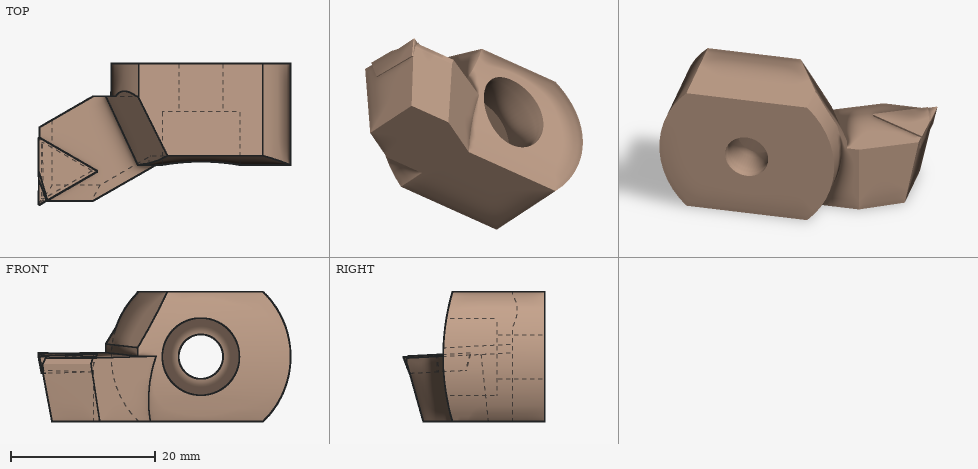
import cadquery as cq
import math


def tan_deg(angle):
    return math.tan(math.radians(angle))



body_radius = 12.45
body_height = 18.0
body_depth = 14.08
dome_radius = 31.95
bore_diameter = 6.1
counterbore_diameter = 10.7
counterbore_floor_depth = 6.65

ledge_depth = 4.55
wall_x = -13.17
wall_height = 1.2
wall_angle = 25.0
ramp_run = 4.45
floor_z = 0.55
floor_tilt = 3.0

head_left_x = -22.3
head_left_relief = 10.6
head_front_y = -19.35
head_front_relief = 15.7
front_land_y = -19.07
flank_angle = 30.0
flank_distance = 9.08
flank_relief = 9.5
back_flank_x = -14.88
flank_inner_y = -11.53

insert_left_x = -22.5
insert_center_y = -14.95
insert_side = 9.57
insert_thickness = 2.38
insert_relief = 10.5
insert_corner_chamfer = 0.17
insert_proud = 0.28

breaker_floor_z = -0.05
breaker_foot = (-22.4, -16.2)
breaker_angle = 20.3
breaker_slope = 38.0

half_height = body_height / 2
clear = 34.93
overrun = 1.75


def floor_level(y):
    """Height of the tilted head top at a given Y."""
    return floor_z + (y + ledge_depth) * tan_deg(floor_tilt)


def make_domed_bar():
    """Bar along X with flat top, bottom and back, and a domed front."""
    rim_y = -body_depth + dome_radius - math.sqrt(dome_radius**2 - half_height**2)
    return (
        cq.Workplane("YZ")
        .moveTo(0, -half_height)
        .lineTo(rim_y, -half_height)
        .threePointArc((-body_depth, 0), (rim_y, half_height))
        .lineTo(0, half_height)
        .close()
        .extrude(body_radius * 2, both=True)
    )


def make_step_cutter():
    """Space above the head, swept parallel to the step wall."""
    wall_top_z = floor_z + wall_height
    ramp_slope = ramp_run / (half_height - wall_top_z)
    top_z = half_height + overrun
    rise = floor_level(0) - floor_z
    shift_x = -ledge_depth * tan_deg(wall_angle)
    ramp_top_x = wall_x + (top_z - wall_top_z) * ramp_slope
    outline = [
        (-clear, floor_z),
        (wall_x, floor_z),
        (wall_x, wall_top_z),
        (ramp_top_x, top_z),
        (-clear, top_z),
    ]
    points = [cq.Vector(x + shift_x, 0, z + rise) for x, z in outline]
    wire = cq.Wire.makePolygon(points, close=True)
    sweep = cq.Vector(tan_deg(wall_angle), -1, -tan_deg(floor_tilt)) * clear
    return cq.Workplane(cq.Solid.extrudeLinear(wire, [], sweep))


def make_body():
    """Round-ended body with a shoulder over the head, cut back by the step."""
    shoulder = cq.Workplane("XY").box(
        -wall_x, clear, body_height, centered=(False, False, True)
    ).translate((wall_x, -ledge_depth - clear, 0))
    disc = cq.Workplane("XZ").circle(body_radius).extrude(clear)
    return make_domed_bar().intersect(disc.union(shoulder)).cut(make_step_cutter())


def head_outline(z):
    """Plan of the head at height z, drawn in by the relief angles."""
    left_x = head_left_x - z * tan_deg(head_left_relief)
    front_y = head_front_y - z * tan_deg(head_front_relief)
    distance = flank_distance + z * tan_deg(flank_relief)
    flank_slope = tan_deg(flank_angle)

    def flank_x(y):
        angle = math.radians(flank_angle)
        return (distance + y * math.cos(angle)) / math.sin(angle)

    inner_x = flank_x(flank_inner_y)
    return [
        (left_x, front_y),
        (flank_x(front_y), front_y),
        (inner_x, flank_inner_y),
        (inner_x, -ledge_depth),
        (back_flank_x, -ledge_depth),
        (left_x, -ledge_depth + (left_x - back_flank_x) * flank_slope),
    ]


def make_head():
    """Relieved cutting head below the tilted top face, with the front land."""
    top_z = floor_z + overrun
    head = (
        cq.Workplane("XY", origin=(0, 0, -half_height))
        .polyline(head_outline(-half_height))
        .close()
        .workplane(offset=half_height + top_z)
        .polyline(head_outline(top_z))
        .close()
        .loft(ruled=True)
    )
    above_top = (
        cq.Workplane("XY")
        .box(2 * clear, 2 * clear, clear, centered=(True, True, False))
        .rotate((0, 0, 0), (1, 0, 0), floor_tilt)
        .translate((0, -ledge_depth, floor_z))
    )
    before_land = cq.Workplane("XY").box(
        2 * clear, clear, clear, centered=(True, False, True)
    ).translate((0, front_land_y - clear, 0))
    return head.cut(above_top).cut(before_land)


def make_bore():
    """Through bore with a counterbore from the front."""
    through = cq.Workplane("XZ").circle(bore_diameter / 2).extrude(clear)
    counterbore = (
        cq.Workplane("XZ", origin=(0, -counterbore_floor_depth, 0))
        .circle(counterbore_diameter / 2)
        .extrude(clear)
    )
    return through.union(counterbore)


def make_insert_blank():
    """Tilted triangular plate with relieved sides and blunted corners."""
    apex_x = insert_side * math.sqrt(3) / 2
    half_side = insert_side / 2
    return (
        cq.Workplane("XY")
        .polyline([(0, -half_side), (apex_x, 0), (0, half_side)])
        .close()
        .extrude(-insert_thickness, taper=insert_relief)
        .edges("not #Z")
        .chamfer(insert_corner_chamfer)
        .rotate((0, 0, 0), (1, 0, 0), floor_tilt)
        .translate((insert_left_x, insert_center_y, floor_level(insert_center_y) + insert_proud))
    )


def make_chip_breaker():
    """Cutter with a level floor and a slope rising away from the insert tip."""
    outline = [
        (0, 0),
        (overrun / tan_deg(breaker_slope), overrun),
        (-clear, overrun),
        (-clear, 0),
    ]
    return (
        cq.Workplane("XZ")
        .polyline(outline)
        .close()
        .extrude(clear, both=True)
        .rotate((0, 0, 0), (0, 0, 1), breaker_angle)
        .translate((*breaker_foot, breaker_floor_z))
    )


insert_blank = make_insert_blank()
holder = make_body().union(make_head()).cut(make_bore()).cut(insert_blank)
insert = insert_blank.cut(make_chip_breaker())

result = cq.Compound.makeCompound([holder.val(), insert.val()])